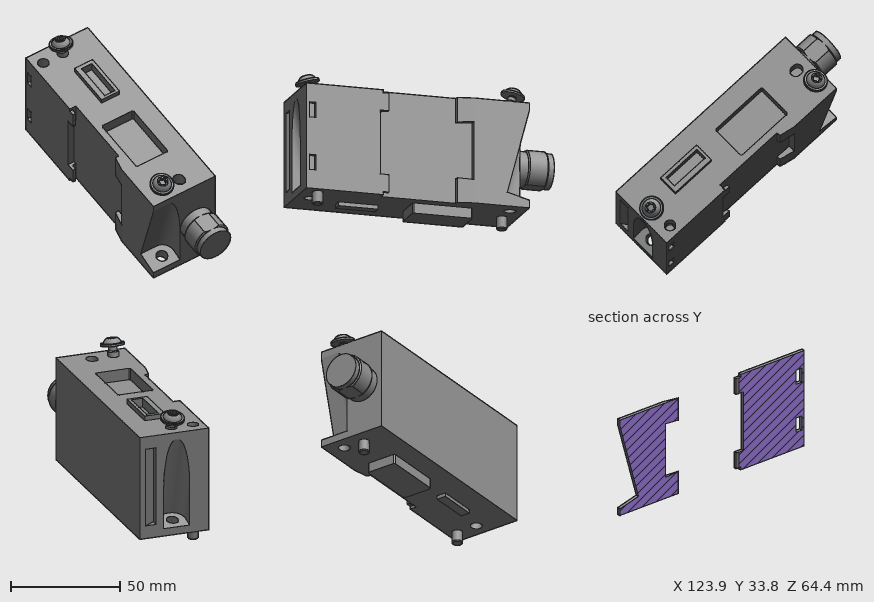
import cadquery as cq
import math

HOUSING_LENGTH = 107.2
HOUSING_DEPTH = 33.8
HOUSING_HEIGHT = 50.0
MID_HEIGHT = HOUSING_HEIGHT / 2
MID_LENGTH = HOUSING_LENGTH / 2
OVERALL_LENGTH = 123.9

CHANNEL_DEPTH = 3.3
CHANNEL_START = 36.9
CHANNEL_END = 80.5
CHANNEL_WIDE_START = 35.4
CHANNEL_WIDE_HEIGHT = 30.5
HOOK_REACH = 2.6
HOOK_THICKNESS = 1.7
HOOK_TIP_THICKNESS = 1.4
HOOK_END_GAP = 1.5
WEDGE_START = 72.7
WEDGE_LEAN = 0.4
WEDGE_SETBACK = 1.5
WEDGE_HEIGHT = 11.8
WEDGE_DRAFT = 0.6

CLIP_POCKET_LEFT = 1.5
CLIP_POCKET_WIDTH = 3.0
CLIP_POCKET_HEIGHT = 7.2
CLIP_POCKET_DEPTH = 2.0
CLIP_POCKET_SPACING = 25.0

LABEL_Y_MIN = 25.8
LABEL_WIDTH = 5.2
LABEL_Z_MIN = 6.3
LABEL_HEIGHT = 37.7
LABEL_DEPTH = 3.7

POCKET_X_MIN = 53.4
POCKET_LENGTH = 29.4
POCKET_Y_MIN = 6.7
POCKET_WIDTH = 17.2
POCKET_DEPTH = 5.6
FOOT_X_MIN = 53.8
FOOT_LENGTH = 28.7
FOOT_Y_MIN = 8.5
FOOT_WIDTH = 15.1
FOOT_HEIGHT = 4.8
CORNER_CHAMFER = 0.6

SOCKET_X_MIN = 19.1
SOCKET_LENGTH = 22.7
SOCKET_Y_MIN = 14.2
SOCKET_WIDTH = 9.8
SOCKET_HEIGHT = 2.2
SOCKET_OPENING_X_MIN = 21.0
SOCKET_OPENING_LENGTH = 19.5
SOCKET_OPENING_Y_MIN = 16.9
SOCKET_OPENING_WIDTH = 5.6
SOCKET_OPENING_DEPTH = 4.3
PLUG_X_MIN = 21.0
PLUG_LENGTH = 19.0
PLUG_Y_MIN = 17.2
PLUG_WIDTH = 4.6
PLUG_HEIGHT = 1.9

PIN_DIAMETER = 5.0
PIN_LENGTH = 5.8
PIN_CHAMFER = 0.5
LEFT_PIN_X = 7.0
LEFT_PIN_Y = 5.1
RIGHT_PIN_X = 99.9
RIGHT_PIN_Y = 18.8
PIN_HOLE_DIAMETER = 5.2
PIN_HOLE_DEPTH = 6.2
PIN_SLOT_LENGTH = 6.3

CONNECTOR_Y = 23.0
CONNECTOR_DIAMETER = 16.6
CONNECTOR_HEIGHT = 16.5
COLLAR_DIAMETER = 18.2
COLLAR_START = 111.5
COLLAR_END = 121.2
COLLAR_CHAMFER = 0.6

SCREW_TILT = 15.0
SCREW_INSET = 6.8
LEFT_SCREW_Y = 15.7
RIGHT_SCREW_Y = 8.2
THREAD_DIAMETER = 5.2
THREAD_TOP = 2.4
THREAD_CHAMFER = 0.5
THREAD_DEPTH = 7.4
NECK_DIAMETER = 4.0
NECK_TOP = 4.2
RELIEF_DIAMETER = 3.1
FLANGE_DIAMETER = 11.0
FLANGE_BOTTOM = 4.8
FLANGE_TOP = 6.0
FLANGE_CHAMFER = 0.2
HEAD_DIAMETER = 8.7
HEAD_TOP = 8.2
HEAD_FLAT_DIAMETER = 5.0
DRIVE_CORE_DIAMETER = 3.1
DRIVE_TIP_DIAMETER = 4.0
DRIVE_LOBE_DIAMETER = 1.0
DRIVE_LOBES = 6
DRIVE_DEPTH = 2.0

RECESS_WIDTH = 12.8
RECESS_REACH = 5.5
RECESS_FLOOR = 5.3
RECESS_FILLET = 5.8
RECESS_LENGTH = 55.8
CLEARANCE_HOLE_DIAMETER = 5.5
CLEARANCE_HOLE_OVERRUN = 3.7


def block(x_min, y_min, z_min, length, width, height):
    """Box given by its lowest corner and its sizes along X, Y and Z."""
    return cq.Workplane("XY").box(length, width, height, centered=False).translate((x_min, y_min, z_min))


def cylinder(diameter, bottom, top):
    """Cylinder on the Z axis between two heights."""
    return cq.Workplane("XY").workplane(offset=bottom).circle(diameter / 2).extrude(top - bottom)


def mirror_height(body):
    """Mirror a body about the housing's middle height."""
    return body.mirror("XY", (0, 0, MID_HEIGHT))


def mirror_length(body):
    """Mirror a body about the housing's middle length."""
    return body.mirror("YZ", (MID_LENGTH, 0, 0))


def place_on_left_axis(body, y, z):
    """Tilt a body made on the Z axis and set it on the left screw axis, from a housing face at z."""
    return body.rotate((0, 0, 0), (0, 1, 0), -SCREW_TILT).translate((SCREW_INSET, y, z))


def rail_channel():
    full = block(CHANNEL_START, 0, 0, CHANNEL_END - CHANNEL_START, CHANNEL_DEPTH, HOUSING_HEIGHT)
    wide = block(
        CHANNEL_WIDE_START, 0, MID_HEIGHT - CHANNEL_WIDE_HEIGHT / 2,
        CHANNEL_START - CHANNEL_WIDE_START, CHANNEL_DEPTH, CHANNEL_WIDE_HEIGHT,
    )
    return full.union(wide)


def rail_hook():
    """Thin lip over the channel, near the bottom edge."""
    height = MID_HEIGHT - CHANNEL_WIDE_HEIGHT / 2 - HOOK_END_GAP
    profile = [
        (CHANNEL_START, 0),
        (CHANNEL_START + HOOK_REACH, 0),
        (CHANNEL_START + HOOK_REACH, HOOK_TIP_THICKNESS),
        (CHANNEL_START, HOOK_THICKNESS),
    ]
    return cq.Workplane("XY").workplane(offset=HOOK_END_GAP).polyline(profile).close().extrude(height)


def rail_wedge():
    """Ramp that rises from the channel to the front face, near the bottom edge."""
    ramp_profile = [
        (WEDGE_START, CHANNEL_DEPTH),
        (WEDGE_START + WEDGE_LEAN, WEDGE_SETBACK),
        (CHANNEL_END, 0),
        (CHANNEL_END, CHANNEL_DEPTH),
    ]
    front_profile = [
        (WEDGE_START, 0),
        (CHANNEL_END, 0),
        (CHANNEL_END, WEDGE_HEIGHT - WEDGE_DRAFT),
        (WEDGE_START, WEDGE_HEIGHT),
    ]
    ramp = cq.Workplane("XY").polyline(ramp_profile).close().extrude(WEDGE_HEIGHT)
    outline = cq.Workplane("XZ").polyline(front_profile).close().extrude(-CHANNEL_DEPTH)
    return ramp.intersect(outline)


def clip_pockets():
    pocket = block(
        CLIP_POCKET_LEFT, 0, MID_HEIGHT - CLIP_POCKET_SPACING / 2 - CLIP_POCKET_HEIGHT / 2,
        CLIP_POCKET_WIDTH, CLIP_POCKET_DEPTH, CLIP_POCKET_HEIGHT,
    )
    return pocket.union(mirror_height(pocket))


def label_slot():
    """Slot whose floor slopes from the face at its +Y side down to its full depth at its -Y side."""
    profile = [(0, LABEL_Y_MIN), (LABEL_DEPTH, LABEL_Y_MIN), (0, LABEL_Y_MIN + LABEL_WIDTH)]
    return cq.Workplane("XY").workplane(offset=LABEL_Z_MIN).polyline(profile).close().extrude(LABEL_HEIGHT)


def top_pocket():
    floor = HOUSING_HEIGHT - POCKET_DEPTH
    body = block(POCKET_X_MIN, POCKET_Y_MIN, floor, POCKET_LENGTH, POCKET_WIDTH, POCKET_DEPTH)
    return body.edges("|Z").chamfer(CORNER_CHAMFER)


def foot():
    body = block(FOOT_X_MIN, FOOT_Y_MIN, -FOOT_HEIGHT, FOOT_LENGTH, FOOT_WIDTH, FOOT_HEIGHT)
    return body.edges("|Z").chamfer(CORNER_CHAMFER)


def socket_rim():
    return block(SOCKET_X_MIN, SOCKET_Y_MIN, HOUSING_HEIGHT, SOCKET_LENGTH, SOCKET_WIDTH, SOCKET_HEIGHT)


def socket_opening():
    floor = HOUSING_HEIGHT + SOCKET_HEIGHT - SOCKET_OPENING_DEPTH
    return block(
        SOCKET_OPENING_X_MIN, SOCKET_OPENING_Y_MIN, floor,
        SOCKET_OPENING_LENGTH, SOCKET_OPENING_WIDTH, SOCKET_OPENING_DEPTH,
    )


def plug():
    return block(PLUG_X_MIN, PLUG_Y_MIN, -PLUG_HEIGHT, PLUG_LENGTH, PLUG_WIDTH, PLUG_HEIGHT)


def locating_pin(x, y):
    pin = cylinder(PIN_DIAMETER, -PIN_LENGTH, 0).faces("<Z").chamfer(PIN_CHAMFER)
    return pin.translate((x, y, 0))


def pin_hole():
    """Round hole whose floor edge tapers like the tip of a pin."""
    hole = cylinder(PIN_HOLE_DIAMETER, HOUSING_HEIGHT - PIN_HOLE_DEPTH, HOUSING_HEIGHT)
    return hole.faces("<Z").chamfer(PIN_CHAMFER).translate((LEFT_PIN_X, LEFT_PIN_Y, 0))


def pin_slot():
    floor = HOUSING_HEIGHT - PIN_HOLE_DEPTH
    slot = cq.Workplane("XY").slot2D(PIN_SLOT_LENGTH, PIN_HOLE_DIAMETER).extrude(PIN_HOLE_DEPTH)
    return slot.translate((RIGHT_PIN_X, RIGHT_PIN_Y, floor))


def connector():
    """Round barrel with a wider collar, flattened above and below."""
    barrel = cylinder(CONNECTOR_DIAMETER, HOUSING_LENGTH, OVERALL_LENGTH)
    collar = cylinder(COLLAR_DIAMETER, COLLAR_START, COLLAR_END).edges().chamfer(COLLAR_CHAMFER)
    turned = barrel.union(collar).rotate((0, 0, 0), (0, 1, 0), 90).translate((0, CONNECTOR_Y, MID_HEIGHT))
    flats = block(
        HOUSING_LENGTH, 0, MID_HEIGHT - CONNECTOR_HEIGHT / 2,
        OVERALL_LENGTH - HOUSING_LENGTH, HOUSING_DEPTH, CONNECTOR_HEIGHT,
    )
    return turned.intersect(flats)


def recess_block(y_min, width, rounded_edges):
    """Untilted recess, from the screw axis inwards by its reach and outwards past the end face."""
    outer = -RECESS_LENGTH / 2
    body = block(outer, y_min, RECESS_FLOOR, RECESS_REACH - outer, width, RECESS_LENGTH)
    return body.edges(rounded_edges).fillet(RECESS_FILLET)


def clearance_hole():
    return cylinder(CLEARANCE_HOLE_DIAMETER, -CLEARANCE_HOLE_OVERRUN, RECESS_FLOOR)


def left_recess():
    recess = recess_block(-RECESS_WIDTH / 2, RECESS_WIDTH, "|Z and >X")
    return place_on_left_axis(recess.union(clearance_hole()), LEFT_SCREW_Y, 0)


def right_recess():
    """Recess that also runs out through the front face."""
    recess = recess_block(-RIGHT_SCREW_Y, RIGHT_SCREW_Y + RECESS_WIDTH / 2, "|Z and >X and >Y")
    return mirror_length(place_on_left_axis(recess.union(clearance_hole()), RIGHT_SCREW_Y, 0))


def screw_hole(y):
    bore = cylinder(THREAD_DIAMETER, -THREAD_DEPTH, THREAD_TOP)
    return place_on_left_axis(bore, y, HOUSING_HEIGHT)


def make_housing():
    body = block(0, 0, 0, HOUSING_LENGTH, HOUSING_DEPTH, HOUSING_HEIGHT).cut(rail_channel())
    for rail_part in (rail_hook(), rail_wedge()):
        body = body.union(rail_part).union(mirror_height(rail_part))
    for added in (
        foot(),
        socket_rim(),
        plug(),
        locating_pin(LEFT_PIN_X, LEFT_PIN_Y),
        locating_pin(RIGHT_PIN_X, RIGHT_PIN_Y),
    ):
        body = body.union(added)
    for removed in (
        clip_pockets(),
        label_slot(),
        top_pocket(),
        socket_opening(),
        pin_hole(),
        pin_slot(),
        left_recess(),
        right_recess(),
        screw_hole(LEFT_SCREW_Y),
        mirror_length(screw_hole(RIGHT_SCREW_Y)),
    ):
        body = body.cut(removed)
    return body.union(connector())


def drive_socket():
    """Six-lobed driver socket in the top of the head."""
    floor = HEAD_TOP - DRIVE_DEPTH
    socket = cylinder(DRIVE_CORE_DIAMETER, floor, HEAD_TOP)
    lobe_radius = (DRIVE_TIP_DIAMETER - DRIVE_LOBE_DIAMETER) / 2
    for index in range(DRIVE_LOBES):
        angle = 2 * math.pi * index / DRIVE_LOBES
        lobe = cylinder(DRIVE_LOBE_DIAMETER, floor, HEAD_TOP)
        socket = socket.union(lobe.translate((lobe_radius * math.cos(angle), lobe_radius * math.sin(angle), 0)))
    return socket


def make_screw():
    """Screw on the Z axis, with Z = 0 where its axis crosses the housing's top face."""
    thread_radius = THREAD_DIAMETER / 2
    neck_radius = NECK_DIAMETER / 2
    relief_radius = RELIEF_DIAMETER / 2
    flange_radius = FLANGE_DIAMETER / 2
    head_radius = HEAD_DIAMETER / 2
    flat_radius = HEAD_FLAT_DIAMETER / 2

    head_height = HEAD_TOP - FLANGE_TOP
    dome_center = FLANGE_TOP + (head_height**2 + flat_radius**2 - head_radius**2) / (2 * head_height)
    dome_radius = math.hypot(head_radius, FLANGE_TOP - dome_center)
    low_angle = math.atan2(FLANGE_TOP - dome_center, head_radius)
    high_angle = math.atan2(HEAD_TOP - dome_center, flat_radius)
    middle_angle = (low_angle + high_angle) / 2
    dome_middle = (
        dome_radius * math.cos(middle_angle),
        dome_center + dome_radius * math.sin(middle_angle),
    )

    profile = (
        cq.Workplane("XZ")
        .moveTo(0, -THREAD_DEPTH)
        .lineTo(thread_radius, -THREAD_DEPTH)
        .lineTo(thread_radius, THREAD_TOP - THREAD_CHAMFER)
        .lineTo(neck_radius, THREAD_TOP)
        .lineTo(neck_radius, NECK_TOP)
        .lineTo(relief_radius, NECK_TOP)
        .lineTo(relief_radius, FLANGE_BOTTOM)
        .lineTo(flange_radius, FLANGE_BOTTOM)
        .lineTo(flange_radius, FLANGE_TOP - FLANGE_CHAMFER)
        .lineTo(flange_radius - FLANGE_CHAMFER, FLANGE_TOP)
        .lineTo(head_radius, FLANGE_TOP)
        .threePointArc(dome_middle, (flat_radius, HEAD_TOP))
        .lineTo(0, HEAD_TOP)
        .close()
    )
    return profile.revolve(360, (0, 0, 0), (0, 1, 0)).cut(drive_socket())


housing = make_housing()
screws = [
    place_on_left_axis(make_screw(), LEFT_SCREW_Y, HOUSING_HEIGHT),
    mirror_length(place_on_left_axis(make_screw(), RIGHT_SCREW_Y, HOUSING_HEIGHT)),
]

result = cq.Compound.makeCompound([housing.val(), *[screw.val() for screw in screws]])